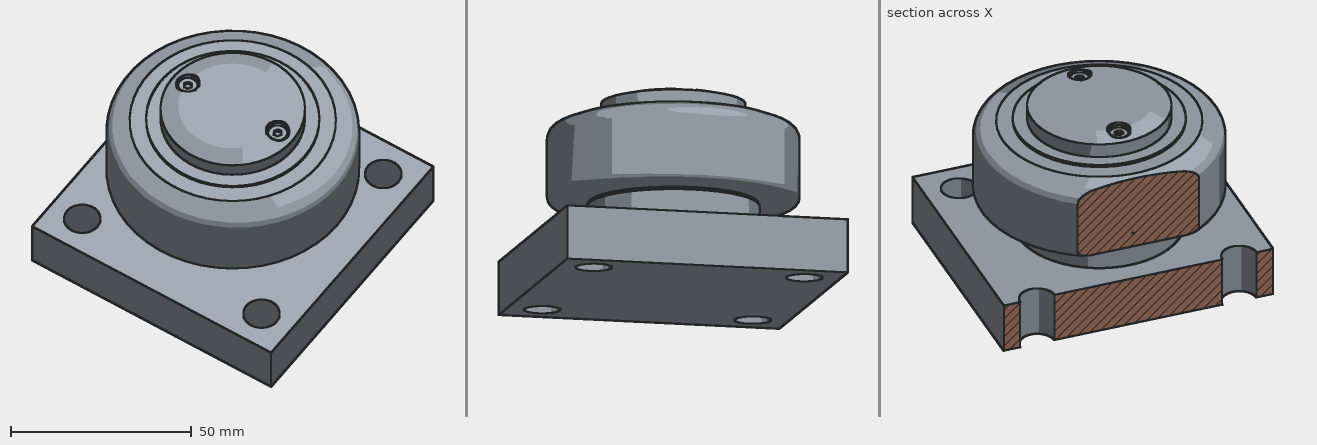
import cadquery as cq
import math

plate_side = 80.0
plate_height = 15.0
bolt_hole_diameter = 10.1
bolt_hole_spacing = 60.0

collar_radius = 24.0
collar_chamfer = 0.4
lower_collar_top = 25.0
upper_collar_top = 49.4

roller_radius = 35.0
roller_bottom = 25.4
roller_top = 48.5
bottom_rounding = 2.0
shoulder_rounding = 4.0
shoulder_slope = math.radians(20)
top_face_radius = 28.6

cap_radius = 20.0
cap_flat_radius = 15.0
cap_edge_height = 53.6
total_height = 54.9

recess_top_diameter = 6.5
recess_floor_diameter = 5.4
recess_depth = 1.3
recess_taper_height = 0.4
socket_across_corners = 2.5
socket_depth = 0.8


def make_plate():
    plate = cq.Workplane("XY").box(plate_side, plate_side, plate_height, centered=(True, True, False))
    return (
        plate.faces(">Z")
        .workplane()
        .rect(bolt_hole_spacing, bolt_hole_spacing, forConstruction=True)
        .vertices()
        .hole(bolt_hole_diameter)
    )


def make_roller_and_hub():
    """Revolve the half profile of the hub, the roller and the cap about Z."""
    neck_radius = collar_radius - collar_chamfer

    arc_centre_radius = roller_radius - shoulder_rounding
    arc_end_radius = arc_centre_radius + shoulder_rounding * math.sin(shoulder_slope)
    arc_end_height = roller_top - (arc_end_radius - top_face_radius) * math.tan(shoulder_slope)
    arc_centre_height = arc_end_height - shoulder_rounding * math.cos(shoulder_slope)

    profile = (
        cq.Workplane("XZ")
        .moveTo(0, plate_height)
        .lineTo(neck_radius, plate_height)
        .lineTo(collar_radius, plate_height + collar_chamfer)
        .lineTo(collar_radius, lower_collar_top - collar_chamfer)
        .lineTo(neck_radius, lower_collar_top)
        .lineTo(neck_radius, roller_bottom)
        .lineTo(roller_radius - bottom_rounding, roller_bottom)
        .tangentArcPoint((roller_radius, roller_bottom + bottom_rounding), relative=False)
        .lineTo(roller_radius, arc_centre_height)
        .tangentArcPoint((arc_end_radius, arc_end_height), relative=False)
        .lineTo(top_face_radius, roller_top)
        .lineTo(neck_radius, roller_top)
        .lineTo(collar_radius, roller_top + collar_chamfer)
        .lineTo(collar_radius, upper_collar_top)
        .lineTo(cap_radius, upper_collar_top)
        .lineTo(cap_radius, cap_edge_height)
        .lineTo(cap_flat_radius, total_height)
        .lineTo(0, total_height)
        .close()
    )
    return profile.revolve(360, (0, 0, 0), (0, 1, 0))


def make_screw_recess(x):
    """Round recess, tapered at the bottom, with a hexagon socket in its floor."""
    floor_height = total_height - recess_depth
    recess = (
        cq.Workplane("XY", origin=(x, 0, floor_height))
        .circle(recess_floor_diameter / 2)
        .workplane(offset=recess_taper_height)
        .circle(recess_top_diameter / 2)
        .loft()
        .faces(">Z")
        .workplane()
        .circle(recess_top_diameter / 2)
        .extrude(recess_depth - recess_taper_height)
    )
    socket = (
        cq.Workplane("XY", origin=(x, 0, floor_height - socket_depth))
        .polygon(6, socket_across_corners)
        .extrude(socket_depth)
    )
    return recess.union(socket)


result = make_plate().union(make_roller_and_hub())
for side in (-1, 1):
    result = result.cut(make_screw_recess(side * cap_flat_radius))